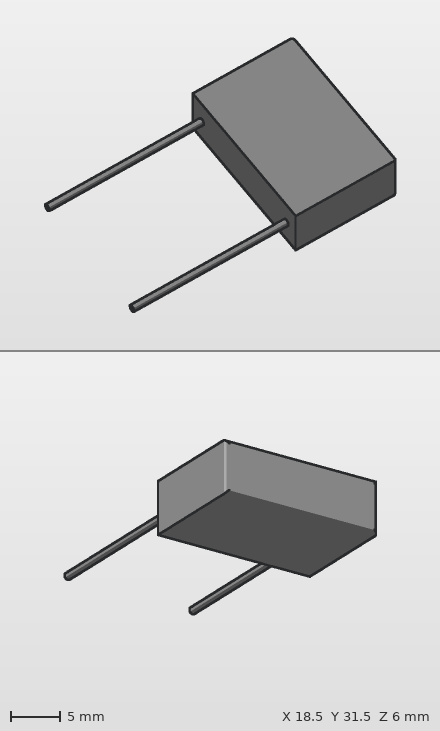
import cadquery as cq

CASE_WIDTH = 18.5
CASE_DEPTH = 12.5
CASE_THICKNESS = 6.0
BACK_EDGE_RADIUS = 0.5

LEAD_DIAMETER = 0.8
LEAD_LENGTH = 19.0
LEAD_PITCH = 15.2


def make_case():
    """Block with the four edges around its back (+Y) face rounded."""
    block = cq.Workplane("XY").box(
        CASE_WIDTH, CASE_DEPTH, CASE_THICKNESS, centered=(True, False, True)
    )
    return block.faces(">Y").edges().fillet(BACK_EDGE_RADIUS)


def make_lead(x):
    """Round wire that ends flush on the lead face; the XZ plane extrudes toward -Y."""
    return cq.Workplane("XZ").center(x, 0).circle(LEAD_DIAMETER / 2).extrude(LEAD_LENGTH)


case = make_case()

leads = []
for side in (-1, 1):
    leads.append(make_lead(side * LEAD_PITCH / 2))

result = cq.Compound.makeCompound([case.val(), *[lead.val() for lead in leads]])